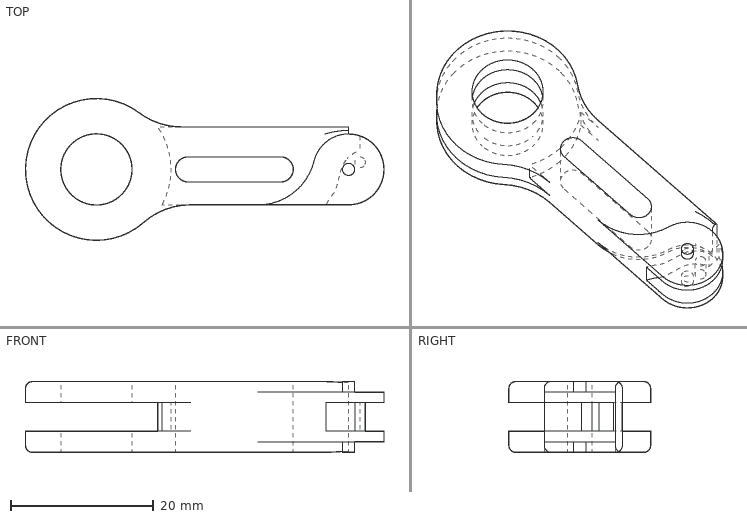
import math

import cadquery as cq

THICKNESS = 10.0
HUB_RADIUS = 10.0
HUB_BORE_DIAMETER = 10.0
EDGE_ROUND = 1.0

ARM_LOW_Y = -5.0
ARM_HIGH_Y = 6.0
NECK_RADIUS = 10.0
SLOT_START_X = 11.15
SLOT_END_X = 27.7
SLOT_WIDTH = 3.5

PIVOT_X = 35.5
PIVOT_RADIUS = 5.0
PIVOT_PIN_DIAMETER = 1.7
LUG_HALF_HEIGHT = 3.5
SHOULDER_START_X = 22.75

GAP = 4.0
HUB_GAP_RADIUS = 10.5

CROSS_PIN_DIAMETER = 1.5
CROSS_PIN_X = 37.12
CROSS_PIN_Y = 1.0
WALL_FOOT_X = 32.33
WALL_FOOT_RADIUS = 10.0
WALL_BEND_START = (33.42, -3.3)
WALL_BEND_START_SLOPE = math.radians(55)
WALL_STEEPEST = (34.78, 0.8)
WALL_TOP_Y = 2.7
WALL_TOP_SLOPE = math.radians(20)

MARGIN = 20.0

HALF_THICKNESS = THICKNESS / 2
HALF_GAP = GAP / 2


def on_circle(center, radius, angle):
    """Point on a circle, with the angle in radians from +X."""
    return (center[0] + radius * math.cos(angle), center[1] + radius * math.sin(angle))


def slab(outline, low_z, high_z):
    """Closed outline in XY, extruded between two heights."""
    return outline.extrude(high_z - low_z).translate((0, 0, low_z))


def centered_slab(outline, half_height):
    """Closed outline in XY, extruded equally above and below the XY plane."""
    return slab(outline, -half_height, half_height)


def neck_arc(side_y):
    """Neck between hub and arm side: points on the hub, midway and on the arm."""
    side = math.copysign(1, side_y)
    center_y = side_y + side * NECK_RADIUS
    center_x = math.sqrt((HUB_RADIUS + NECK_RADIUS) ** 2 - center_y**2)
    center = (center_x, center_y)
    hub_angle = math.atan2(-center_y, -center_x)
    arm_angle = -side * math.pi / 2
    hub_point = on_circle(center, NECK_RADIUS, hub_angle)
    middle = on_circle(center, NECK_RADIUS, (hub_angle + arm_angle) / 2)
    return hub_point, middle, (center_x, side_y)


def hub_and_arm_outline():
    """Hub disc flowing through both necks into the arm, square at the pivot axis."""
    low_hub, low_middle, low_arm = neck_arc(ARM_LOW_Y)
    high_hub, high_middle, high_arm = neck_arc(ARM_HIGH_Y)
    return (
        cq.Workplane("XY")
        .moveTo(*low_arm)
        .lineTo(PIVOT_X, ARM_LOW_Y)
        .lineTo(PIVOT_X, ARM_HIGH_Y)
        .lineTo(*high_arm)
        .threePointArc(high_middle, high_hub)
        .threePointArc((-HUB_RADIUS, 0), low_hub)
        .threePointArc(low_middle, low_arm)
        .close()
    )


def rounded_body():
    """Full-height hub and arm with rounded rims, still square at the pivot axis."""
    body = centered_slab(hub_and_arm_outline(), HALF_THICKNESS)
    rims = body.faces("|Z").edges().vals()
    rounded_rims = [rim for rim in rims if rim.Center().x < PIVOT_X - EDGE_ROUND]
    return body.newObject(rounded_rims).fillet(EDGE_ROUND)


def shoulder_region():
    """Region behind the S-shaped shoulder, with the shoulder rims rounded."""
    run = PIVOT_X - SHOULDER_START_X
    sweep_radius = run**2 / (4 * PIVOT_RADIUS)
    sweep_center = (SHOULDER_START_X, ARM_LOW_Y + sweep_radius)
    pivot = (PIVOT_X, 0)
    tilt = math.atan2(-sweep_center[1], run)
    inflection = on_circle(sweep_center, sweep_radius, tilt)
    sweep_middle = on_circle(sweep_center, sweep_radius, (tilt - math.pi / 2) / 2)
    pivot_middle = on_circle(pivot, PIVOT_RADIUS, (tilt + math.pi + math.pi / 2) / 2)
    outline = (
        cq.Workplane("XY")
        .moveTo(SHOULDER_START_X, ARM_LOW_Y)
        .threePointArc(sweep_middle, inflection)
        .threePointArc(pivot_middle, (PIVOT_X, PIVOT_RADIUS))
        .lineTo(PIVOT_X + MARGIN, PIVOT_RADIUS)
        .lineTo(PIVOT_X + MARGIN, MARGIN)
        .lineTo(-MARGIN, MARGIN)
        .lineTo(-MARGIN, -MARGIN)
        .lineTo(SHOULDER_START_X, -MARGIN)
        .close()
    )
    region = centered_slab(outline, HALF_THICKNESS)
    return region.faces("|Z").edges("%CIRCLE").fillet(EDGE_ROUND)


def pivot_lug():
    """Lower platform in front of the shoulder, with its round end about the pivot axis."""
    platform = (
        cq.Workplane("XY")
        .moveTo(SHOULDER_START_X, ARM_LOW_Y)
        .lineTo(PIVOT_X, -PIVOT_RADIUS)
        .threePointArc((PIVOT_X + PIVOT_RADIUS, 0), (PIVOT_X, PIVOT_RADIUS))
        .lineTo(SHOULDER_START_X, PIVOT_RADIUS)
        .close()
    )
    return centered_slab(platform, LUG_HALF_HEIGHT)


def pivot_pin_stubs():
    """Short pins standing on both faces of the lug, level with the hub faces."""
    stub = slab(
        cq.Workplane("XY").center(PIVOT_X, 0).circle(PIVOT_PIN_DIAMETER / 2),
        LUG_HALF_HEIGHT,
        HALF_THICKNESS,
    )
    return stub.union(stub.mirror("XY"))


def hub_gap():
    """Gap between the hub plates, which also trims the necks flush with the arm sides."""
    gap = centered_slab(cq.Workplane("XY").circle(HUB_GAP_RADIUS), HALF_GAP)
    for side_y in (ARM_LOW_Y, ARM_HIGH_Y):
        outer_y = math.copysign(MARGIN, side_y)
        beside_arm = (
            cq.Workplane("XY")
            .moveTo(0, side_y)
            .lineTo(MARGIN, side_y)
            .lineTo(MARGIN, outer_y)
            .lineTo(0, outer_y)
            .close()
        )
        gap = gap.union(centered_slab(beside_arm, HALF_GAP))
    return gap


def pivot_gap():
    """Gap between the pivot plates, closed by a wall that curves around the cross pin."""
    bend_directions = [
        (math.cos(slope), math.sin(slope)) for slope in (WALL_BEND_START_SLOPE, WALL_TOP_SLOPE)
    ]
    outline = (
        cq.Workplane("XY")
        .moveTo(WALL_FOOT_X, ARM_LOW_Y)
        .radiusArc(WALL_BEND_START, WALL_FOOT_RADIUS)
        .spline(
            [WALL_STEEPEST, (CROSS_PIN_X, WALL_TOP_Y)],
            tangents=bend_directions,
            includeCurrent=True,
        )
        .lineTo(CROSS_PIN_X, MARGIN)
        .lineTo(PIVOT_X + MARGIN, MARGIN)
        .lineTo(PIVOT_X + MARGIN, ARM_LOW_Y)
        .close()
    )
    return centered_slab(outline, HALF_GAP)


def cross_pin():
    """Pin joining the two pivot plates across their gap."""
    pin = cq.Workplane("XY").center(CROSS_PIN_X, CROSS_PIN_Y).circle(CROSS_PIN_DIAMETER / 2)
    return centered_slab(pin, HALF_GAP)


def hub_bore():
    """Round bore through both hub plates."""
    bore = cq.Workplane("XY").circle(HUB_BORE_DIAMETER / 2)
    return centered_slab(bore, HALF_THICKNESS)


def arm_slot():
    """Round-ended slot through the arm."""
    middle_x = (SLOT_START_X + SLOT_END_X) / 2
    slot = cq.Workplane("XY").center(middle_x, 0).slot2D(SLOT_END_X - SLOT_START_X, SLOT_WIDTH)
    return centered_slab(slot, HALF_THICKNESS)


result = (
    rounded_body()
    .intersect(shoulder_region())
    .union(pivot_lug())
    .union(pivot_pin_stubs())
    .cut(hub_gap())
    .cut(pivot_gap())
    .cut(hub_bore())
    .cut(arm_slot())
    .union(cross_pin())
)